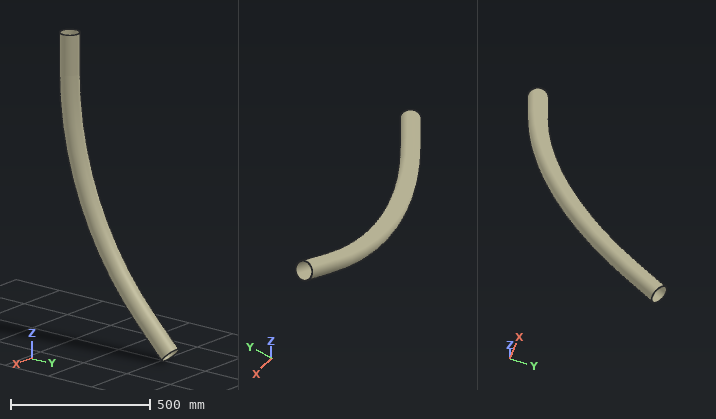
import cadquery as cq
import math

outer_diameter = 76.0
inner_diameter = 70.0
overall_height = 1149.0
end_length = 154.0
bend_angle = 45.0

bend = math.radians(bend_angle)
outer_radius = outer_diameter / 2

centreline_height = overall_height - outer_radius * math.sin(bend)
bend_radius = (centreline_height - end_length * (1 + math.cos(bend))) / math.sin(bend)


def bend_point(angle):
    """Centreline point (Y, Z) at an angle from the upper end of the bend."""
    y = bend_radius * (1 - math.cos(angle))
    z = -end_length - bend_radius * math.sin(angle)
    return y, z


lower_y, lower_z = bend_point(bend)
lower_end = (
    lower_y + end_length * math.sin(bend),
    lower_z - end_length * math.cos(bend),
)
centreline = (
    cq.Workplane("YZ")
    .lineTo(0, -end_length)
    .threePointArc(bend_point(bend / 2), (lower_y, lower_z))
    .lineTo(*lower_end)
)

result = (
    cq.Workplane("XY")
    .circle(outer_radius)
    .circle(inner_diameter / 2)
    .sweep(centreline)
)